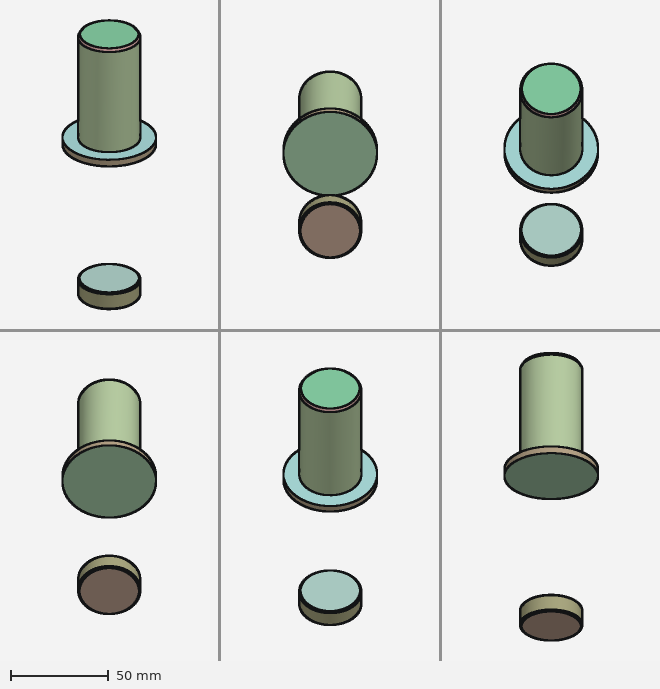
import cadquery as cq

TOTAL_HEIGHT = 152.0
SHANK_DIAMETER = 31.9
HEAD_DIAMETER = 48.0
HEAD_THICKNESS = 4.0
PIN_LENGTH = 64.0
PIN_CHAMFER_WIDTH = 1.0
PIN_CHAMFER_HEIGHT = 1.7
DISC_THICKNESS = 9.9
DISC_CHAMFER = 0.8

PIN_BASE_Z = TOTAL_HEIGHT - PIN_LENGTH


def make_headed_pin():
    """Shank on a wide, thin head, with a steep chamfer around its free end."""
    shank_radius = SHANK_DIAMETER / 2
    head_radius = HEAD_DIAMETER / 2
    head_top_z = PIN_BASE_Z + HEAD_THICKNESS
    half_profile = [
        (0, PIN_BASE_Z),
        (head_radius, PIN_BASE_Z),
        (head_radius, head_top_z),
        (shank_radius, head_top_z),
        (shank_radius, TOTAL_HEIGHT - PIN_CHAMFER_HEIGHT),
        (shank_radius - PIN_CHAMFER_WIDTH, TOTAL_HEIGHT),
        (0, TOTAL_HEIGHT),
    ]
    return cq.Workplane("XZ").polyline(half_profile).close().revolve(360, (0, 0), (0, 1))


def make_disc():
    """Disc of the shank's diameter, chamfered around both faces."""
    disc = cq.Workplane("XY").circle(SHANK_DIAMETER / 2).extrude(DISC_THICKNESS)
    return disc.faces("<Z or >Z").edges().chamfer(DISC_CHAMFER)


headed_pin = make_headed_pin()
disc = make_disc()

result = cq.Compound.makeCompound([headed_pin.val(), disc.val()])